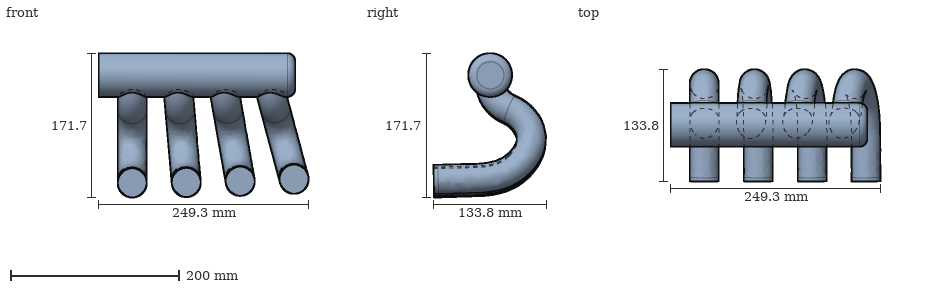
import cadquery as cq
import math

BAR_DIAMETER = 52.3
BAR_LENGTH = 233.5
BAR_END_ROUND = 10.0

PIPE_DIAMETER = 34.8
PIPE_COUNT = 4
FIRST_PIPE_X = 39.75
PIPE_PITCH = 53.0
FAN_STEP = 5.0

NECK_RADIUS = 36.8
NECK_TOP_Z = -7.5
NECK_EXIT_ANGLE = 22.5
BEND_CREST = (48.8, -73.7)
BEND_BELLY = (24.1, -116.8)
BEND_FOOT = (-30.0, -127.2)
OUTLET_CENTRE = (-67.0, -128.15)
OUTLET_SLOPE = 1.2
COLLAR_LENGTH = 4.9


def direction(angle):
    """Unit (Y, Z) vector at an angle in degrees from +Y towards +Z."""
    return (math.cos(math.radians(angle)), math.sin(math.radians(angle)))


def neck_point(angle):
    """Point on the neck arc, whose centre lies on the +Y side of the bar axis."""
    y, z = direction(angle)
    return (NECK_RADIUS + NECK_RADIUS * y, NECK_TOP_Z + NECK_RADIUS * z)


def make_bar():
    bar = cq.Workplane("YZ").circle(BAR_DIAMETER / 2).extrude(BAR_LENGTH)
    return bar.faces(">X").edges().fillet(BAR_END_ROUND)


def make_pipe():
    """One pipe hanging straight down from the bar axis at X = 0."""
    outlet_heading = direction(180 + OUTLET_SLOPE)
    collar_start = tuple(
        end - COLLAR_LENGTH * step for end, step in zip(OUTLET_CENTRE, outlet_heading)
    )
    neck_start_angle = 180
    neck_end_angle = 270 - NECK_EXIT_ANGLE
    neck_middle_angle = (neck_start_angle + neck_end_angle) / 2
    neck_start = neck_point(neck_start_angle)
    neck_end = neck_point(neck_end_angle)

    neck_path = cq.Workplane("YZ").moveTo(*neck_start)
    neck_path = neck_path.threePointArc(neck_point(neck_middle_angle), neck_end)
    neck_plane = cq.Plane(origin=(0, *neck_start), xDir=(-1, 0, 0), normal=(0, 0, -1))
    neck = cq.Workplane(neck_plane).circle(PIPE_DIAMETER / 2).sweep(neck_path)

    bend_path = cq.Workplane("YZ").spline(
        [neck_end, BEND_CREST, BEND_BELLY, BEND_FOOT, collar_start],
        tangents=[direction(-NECK_EXIT_ANGLE), outlet_heading],
        scale=False,
    )
    bend_plane = cq.Plane(
        origin=(0, *neck_end), xDir=(-1, 0, 0), normal=(0, *direction(-NECK_EXIT_ANGLE))
    )
    bend = cq.Workplane(bend_plane).circle(PIPE_DIAMETER / 2).sweep(bend_path)

    collar_plane = cq.Plane(origin=(0, *collar_start), xDir=(-1, 0, 0), normal=(0, *outlet_heading))
    collar = cq.Workplane(collar_plane).circle(PIPE_DIAMETER / 2).extrude(COLLAR_LENGTH)
    return neck.union(bend).union(collar)


result = make_bar()
pipe = make_pipe()
for index in range(PIPE_COUNT):
    fanned_pipe = pipe.rotate((0, 0, 0), (0, 1, 0), -FAN_STEP * index)
    result = result.union(fanned_pipe.translate((FIRST_PIPE_X + PIPE_PITCH * index, 0, 0)))